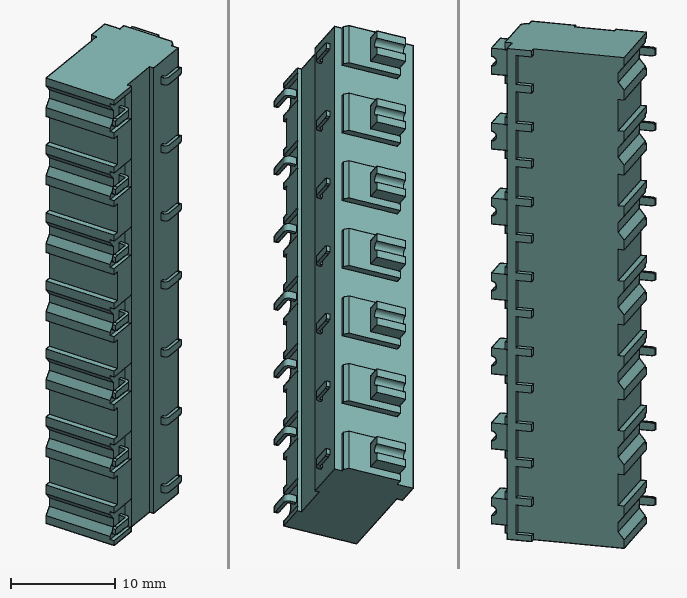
import cadquery as cq
import math

LENGTH = 49.9
POLES = 7
END_MARGIN = 2.1
PITCH = (LENGTH - 2 * END_MARGIN) / (POLES - 1)

BODY_LEFT = 0.6
BODY_RIGHT = 8.35
CHANNEL_DEPTH = 0.45
CHANNEL_FLOOR = BODY_RIGHT - CHANNEL_DEPTH

RIDGE_FRONT = 0.75
BODY_FRONT = 1.35
CHANNEL_START = 3.85
CHANNEL_END = 7.85
NOTCH_SLOPE_START = CHANNEL_START - CHANNEL_DEPTH
RIB_FRONT = 9.85
FLANGE_FRONT = 11.4
BODY_BACK = 12.3

RIDGE_HEIGHT = 4.45
GROOVE_MOUTH = 2.45
GROOVE_FLOOR = 0.95
NOTCH_HEIGHT = 3.1
RIB_THICKNESS = 0.75

BLOCK_LEFT = 1.7
BLOCK_RIGHT = 7.55
BLOCK_BACK = 13.0
BLOCK_HEIGHT = 2 * END_MARGIN
BLOCK_CHAMFER = 0.4
LATCH_LEFT = 1.8
LATCH_RIGHT = 4.85
LATCH_BACK = 14.4
LATCH_HEIGHT = 2.65
LATCH_NOTCH_RADIUS = 0.5

TERMINAL_RIGHT = 9.0
TERMINAL_THICKNESS = 0.35
TERMINAL_WIDTH = 0.8
TERMINAL_LENGTH = 2.65
BEND_RADIUS = 0.45
TIP_LENGTH = 0.3
TIP_TAPER = 0.1
TERMINAL_ROOT = 0.5
LOWER_BEND_Y = TERMINAL_LENGTH
UPPER_BEND_Y = 9.2


def box(x_range, y_range, z_range):
    """Block between the given limits on each axis."""
    size = [high - low for low, high in (x_range, y_range, z_range)]
    corner = (x_range[0], y_range[0], z_range[0])
    return cq.Workplane("XY").box(*size, centered=False).translate(corner)


def centred(height, z=0.0):
    """Z limits of a feature of the given height about z."""
    return (z - height / 2, z + height / 2)


def make_body():
    """Full-length housing core with its flange."""
    full = centred(LENGTH)
    body = box((BODY_LEFT, BODY_RIGHT), (BODY_FRONT, BODY_BACK), full)
    flange = box((0, BODY_LEFT), (FLANGE_FRONT, BODY_BACK), full)
    return body.union(flange)


def make_ridge():
    """Front ridge with a tapered groove along X."""
    ridge = box((BODY_LEFT, BODY_RIGHT), (RIDGE_FRONT, BODY_FRONT), centred(RIDGE_HEIGHT))
    groove = (
        cq.Workplane("YZ", origin=(BODY_LEFT, 0, 0))
        .polyline([
            (RIDGE_FRONT, -GROOVE_MOUTH / 2),
            (RIDGE_FRONT, GROOVE_MOUTH / 2),
            (BODY_FRONT, GROOVE_FLOOR / 2),
            (BODY_FRONT, -GROOVE_FLOOR / 2),
        ])
        .close()
        .extrude(BODY_RIGHT - BODY_LEFT)
    )
    return ridge.cut(groove)


def make_ribs():
    """Two ribs below the flange, level with the ends of the ridge."""
    offset = (RIDGE_HEIGHT - RIB_THICKNESS) / 2
    upper = box((0, BODY_LEFT), (RIB_FRONT, FLANGE_FRONT), centred(RIB_THICKNESS, offset))
    lower = box((0, BODY_LEFT), (RIB_FRONT, FLANGE_FRONT), centred(RIB_THICKNESS, -offset))
    return upper.union(lower)


def make_block():
    """Raised block with one chamfered edge and a slot that uncovers the latch."""
    block = box((BLOCK_LEFT, BLOCK_RIGHT), (BODY_BACK, BLOCK_BACK), centred(BLOCK_HEIGHT))
    block = block.edges(">X and >Y").chamfer(BLOCK_CHAMFER)
    slot = box((BLOCK_LEFT, LATCH_LEFT), (BODY_BACK, BLOCK_BACK), centred(LATCH_HEIGHT))
    return block.cut(slot)


def make_latch():
    """Latch tab with a round notch across its outer end."""
    latch = box((LATCH_LEFT, LATCH_RIGHT), (BODY_BACK, LATCH_BACK), centred(LATCH_HEIGHT))
    notch = (
        cq.Workplane("YZ", origin=(LATCH_LEFT, 0, 0))
        .center(LATCH_BACK, 0)
        .circle(LATCH_NOTCH_RADIUS)
        .extrude(LATCH_RIGHT - LATCH_LEFT)
    )
    return latch.cut(notch)


def make_terminal(bend_y, direction):
    """L-shaped terminal leaving the housing along X; direction is the sign of its leg along Y."""
    inner_radius = BEND_RADIUS - TERMINAL_THICKNESS
    centre_x = TERMINAL_RIGHT - BEND_RADIUS
    root_x = CHANNEL_FLOOR - TERMINAL_ROOT
    leg_left = TERMINAL_RIGHT - TERMINAL_THICKNESS
    diagonal = math.sqrt(0.5)

    def point(x, along):
        return (x, bend_y + direction * along)

    def mid_bend(radius):
        return point(centre_x + radius * diagonal, BEND_RADIUS - radius * diagonal)

    bar = (
        cq.Workplane("XY")
        .moveTo(*point(root_x, 0))
        .lineTo(*point(centre_x, 0))
        .threePointArc(mid_bend(BEND_RADIUS), point(TERMINAL_RIGHT, BEND_RADIUS))
        .lineTo(*point(TERMINAL_RIGHT, TERMINAL_LENGTH))
        .lineTo(*point(leg_left, TERMINAL_LENGTH))
        .lineTo(*point(leg_left, BEND_RADIUS))
        .threePointArc(mid_bend(inner_radius), point(centre_x, TERMINAL_THICKNESS))
        .lineTo(*point(root_x, TERMINAL_THICKNESS))
        .close()
        .extrude(TERMINAL_WIDTH / 2, both=True)
    )
    for side in (1, -1):
        edge = side * TERMINAL_WIDTH / 2
        shoulder = bend_y + direction * (TERMINAL_LENGTH - TIP_LENGTH)
        tip = bend_y + direction * TERMINAL_LENGTH
        corner = (
            cq.Workplane("YZ", origin=(leg_left, 0, 0))
            .polyline([(shoulder, edge), (tip, edge), (tip, edge - side * TIP_TAPER)])
            .close()
            .extrude(TERMINAL_THICKNESS)
        )
        bar = bar.cut(corner)
    return bar


pole_heights = [(i - (POLES - 1) / 2) * PITCH for i in range(POLES)]

housing = make_body()
pole = make_ridge().union(make_ribs()).union(make_block())
for z in pole_heights:
    housing = housing.union(pole.translate((0, 0, z)))

housing = housing.intersect(
    box((0, BODY_RIGHT), (RIDGE_FRONT, BLOCK_BACK), centred(LENGTH))
)

housing = housing.cut(
    box((CHANNEL_FLOOR, BODY_RIGHT), (CHANNEL_START, CHANNEL_END), centred(LENGTH))
)

notch_profile = [
    (CHANNEL_FLOOR, RIDGE_FRONT),
    (BODY_RIGHT, RIDGE_FRONT),
    (BODY_RIGHT, CHANNEL_START),
    (CHANNEL_FLOOR, NOTCH_SLOPE_START),
]
notch = cq.Workplane("XY").polyline(notch_profile).close().extrude(NOTCH_HEIGHT / 2, both=True)
for z in pole_heights:
    housing = housing.cut(notch.translate((0, 0, z)))

fittings = (
    make_latch()
    .union(make_terminal(LOWER_BEND_Y, -1))
    .union(make_terminal(UPPER_BEND_Y, 1))
)
result = housing
for z in pole_heights:
    result = result.union(fittings.translate((0, 0, z)))